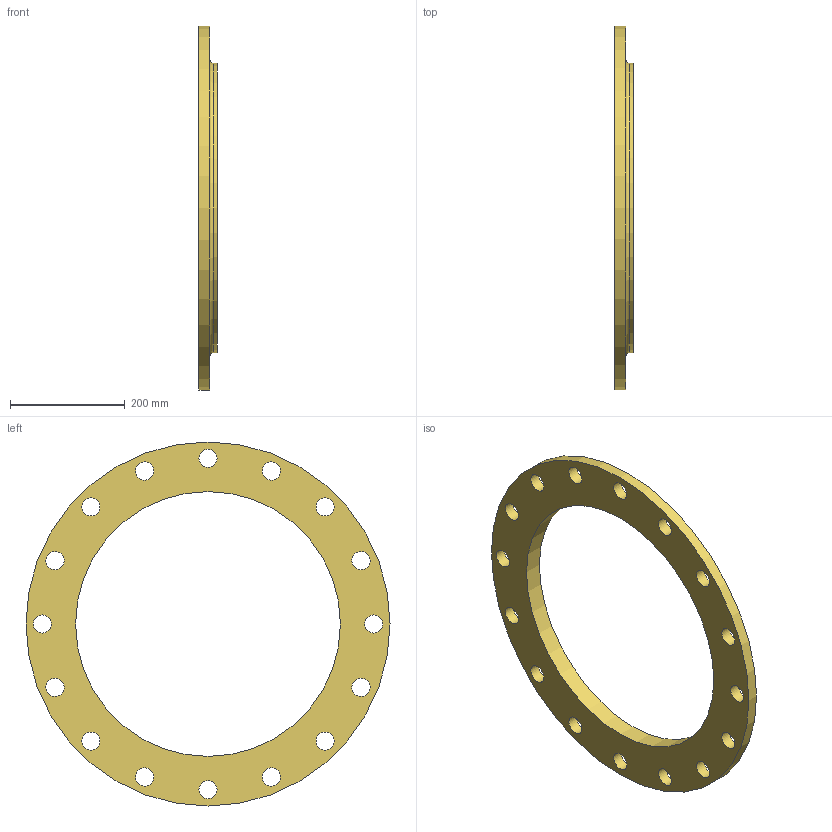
import cadquery as cq

flange_diameter = 635.0
bore_diameter = 462.0
hub_diameter = 504.8
total_thickness = 31.75
flange_thickness = 19.05
hub_fillet_radius = 6.35

bolt_hole_count = 16
bolt_hole_diameter = 31.75
bolt_circle_diameter = 577.85

selection_margin = 1.0


def make_ring_blank():
    """Flat flange with a raised hub on +X, before boring and drilling."""
    flange = cq.Workplane("YZ").circle(flange_diameter / 2).extrude(flange_thickness)
    hub = cq.Workplane("YZ").circle(hub_diameter / 2).extrude(total_thickness)
    return flange.union(hub)


def fillet_hub_root(body):
    """Round the inside corner where the hub meets the flange face."""
    reach = hub_diameter / 2 + selection_margin
    root_edge = cq.selectors.BoxSelector(
        (flange_thickness - selection_margin, -reach, -reach),
        (flange_thickness + selection_margin, reach, reach),
        boundingbox=True,
    )
    return body.edges(root_edge).fillet(hub_fillet_radius)


def cut_bore(body):
    """Open the centre right through the flange and hub."""
    bore = cq.Workplane("YZ").circle(bore_diameter / 2).extrude(total_thickness)
    return body.cut(bore)


def drill_bolt_holes(body):
    """Drill the evenly spaced bolt holes, the first one on the Y axis."""
    holes = (
        cq.Workplane("YZ")
        .polarArray(bolt_circle_diameter / 2, 0, 360, bolt_hole_count)
        .circle(bolt_hole_diameter / 2)
        .extrude(flange_thickness)
    )
    return body.cut(holes)


ring = fillet_hub_root(make_ring_blank())
result = drill_bolt_holes(cut_bore(ring))